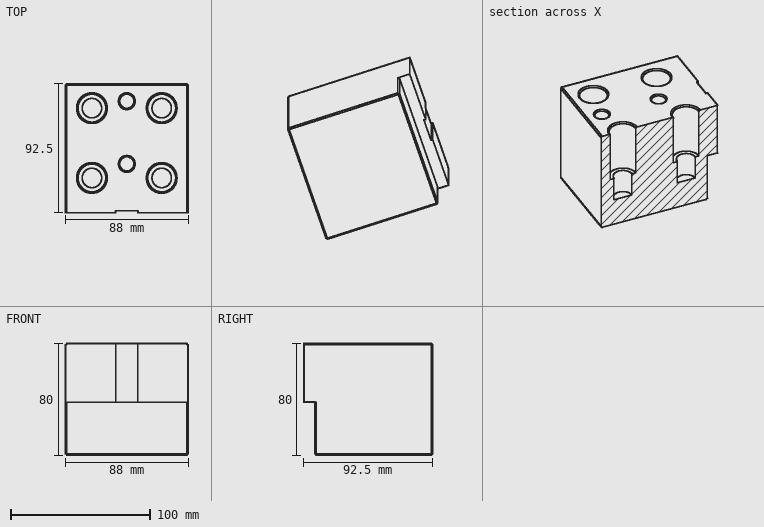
import cadquery as cq
import math

width = 88.0
depth = 92.5
height = 80.0

lip_overhang = 8.0
lip_height = 42.0
slot_width = 16.0
slot_depth = 1.3

edge_chamfer = 1.0

screw_spacing = 50.0
screw_back_offset = 17.5
counterbore_diameter = 20.0
counterbore_depth = 39.8
pilot_diameter = 14.0
pilot_depth = 18.5

drill_spacing = 45.0
drill_back_offset = 12.5
drill_diameter = 10.2
drill_mouth_diameter = 12.0
drill_depth = 25.0
drill_point_angle = 118.0


def make_block():
    """Stepped block with chamfers everywhere except around the lip."""
    lip_bottom = height - lip_height
    side_profile = [
        (lip_overhang, 0),
        (depth, 0),
        (depth, height),
        (0, height),
        (0, lip_bottom),
        (lip_overhang, lip_bottom),
    ]
    block = cq.Workplane("YZ").polyline(side_profile).close().extrude(width / 2, both=True)
    back_and_bottom = ">Y or <Z"
    top_sides = "(|Y and >Z)"
    uprights_behind_lip = "(|Z and (not <Y))"
    return block.edges(f"{back_and_bottom} or {top_sides} or {uprights_behind_lip}").chamfer(edge_chamfer)


def revolved_cutter(half_profile):
    """Turn a (radius, depth) half profile into a cutter hanging below Z = 0."""
    points = [(radius, -below) for radius, below in half_profile]
    return cq.Workplane("XZ").polyline(points).close().revolve(360, (0, 0), (0, 1))


def screw_hole():
    """Chamfered counterbore with a smaller flat-bottomed hole below it."""
    bore_radius = counterbore_diameter / 2
    pilot_radius = pilot_diameter / 2
    bottom = counterbore_depth + pilot_depth
    return revolved_cutter([
        (0, 0),
        (bore_radius + edge_chamfer, 0),
        (bore_radius, edge_chamfer),
        (bore_radius, counterbore_depth),
        (pilot_radius, counterbore_depth),
        (pilot_radius, bottom),
        (0, bottom),
    ])


def drilled_hole():
    """Blind hole with a chamfered mouth and a conical drill point."""
    radius = drill_diameter / 2
    mouth_radius = drill_mouth_diameter / 2
    point_length = radius / math.tan(math.radians(drill_point_angle / 2))
    return revolved_cutter([
        (0, 0),
        (mouth_radius, 0),
        (radius, mouth_radius - radius),
        (radius, drill_depth),
        (0, drill_depth + point_length),
    ])


result = make_block()

key_slot = cq.Workplane("XY").box(slot_width, slot_depth, lip_height, centered=(True, False, False))
result = result.cut(key_slot.translate((0, 0, height - lip_height)))

screw_back_y = depth - screw_back_offset
for x in (-screw_spacing / 2, screw_spacing / 2):
    for y in (screw_back_y, screw_back_y - screw_spacing):
        result = result.cut(screw_hole().translate((x, y, height)))

drill_back_y = depth - drill_back_offset
for y in (drill_back_y, drill_back_y - drill_spacing):
    result = result.cut(drilled_hole().translate((0, y, height)))